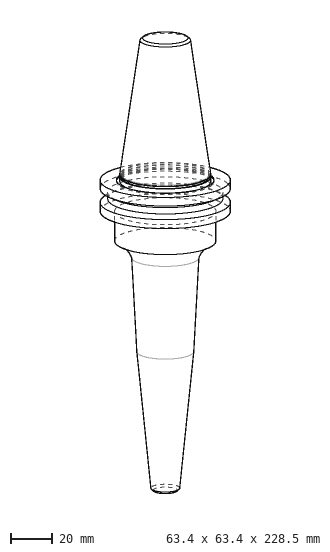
import cadquery as cq

total_height = 228.5
gauge_height = 160.0
flange_top = 156.7
flange_bottom = 141.0
collar_bottom = 125.8
neck_top = 117.6
nose_top = 70.1

flange_radius = 31.7
groove_floor_radius = 28.0
collar_radius = 24.7
neck_top_radius = 16.5
nose_top_radius = 14.0
tip_radius = 7.0
gauge_radius = 22.2
taper_slope = 3.5 / 24

groove_center = 149.0
groove_mouth_half = 3.5
groove_floor_half = 1.5

undercut_radius = 21.5
undercut_top = 159.5
undercut_bottom = 158.3

recess_radius = 23.8
recess_depth = 0.7
recess_floor = flange_top - recess_depth

shoulder_mid_radius = 19.6
shoulder_mid_height = 122.9

end_chamfer = 1.1
top_radius = gauge_radius - taper_slope * (total_height - gauge_height)
chamfer_base_radius = top_radius + taper_slope * end_chamfer

profile = (
    cq.Workplane("XZ")
    .moveTo(0, 0)
    .lineTo(tip_radius - end_chamfer, 0)
    .lineTo(tip_radius, end_chamfer)
    .lineTo(nose_top_radius, nose_top)
    .lineTo(neck_top_radius, neck_top)
    .threePointArc((shoulder_mid_radius, shoulder_mid_height), (collar_radius, collar_bottom))
    .lineTo(collar_radius, flange_bottom)
    .lineTo(flange_radius, flange_bottom)
    .lineTo(flange_radius, groove_center - groove_mouth_half)
    .lineTo(groove_floor_radius, groove_center - groove_floor_half)
    .lineTo(groove_floor_radius, groove_center + groove_floor_half)
    .lineTo(flange_radius, groove_center + groove_mouth_half)
    .lineTo(flange_radius, flange_top)
    .lineTo(recess_radius, flange_top)
    .lineTo(recess_radius, recess_floor)
    .lineTo(gauge_radius, recess_floor)
    .lineTo(gauge_radius, undercut_bottom)
    .lineTo(undercut_radius, undercut_bottom)
    .lineTo(undercut_radius, undercut_top)
    .lineTo(gauge_radius, undercut_top)
    .lineTo(gauge_radius, gauge_height)
    .lineTo(chamfer_base_radius, total_height - end_chamfer)
    .lineTo(top_radius - end_chamfer, total_height)
    .lineTo(0, total_height)
    .close()
)

result = profile.revolve(360, (0, 0, 0), (0, 1, 0))